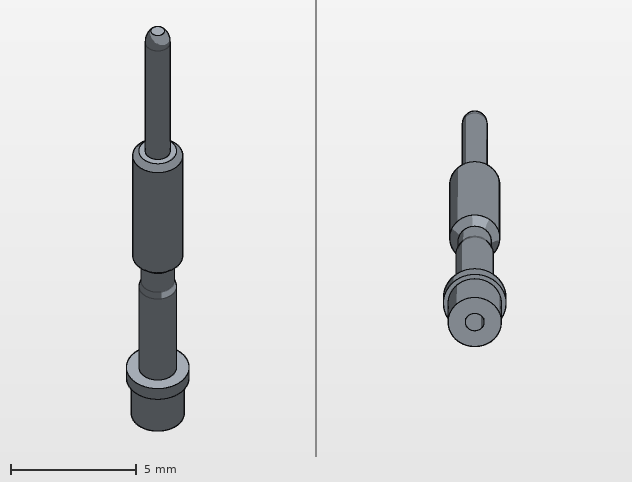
import cadquery as cq

flange_bottom = 1.91
flange_top = 2.5
barrel_top = 6.9
neck_bottom = 7.2
neck_top = 8.22
body_bottom = 8.57
body_top = 14.27
nose_start = 20.18
total_height = 20.8

base_radius = 1.06
flange_radius = 1.25
barrel_radius = 0.75
neck_radius = 0.67
body_radius = 1.0
pin_radius = 0.5
tip_radius = 0.27

body_chamfer = 0.25

bore_radius = 0.37
bore_depth = 6.45

hole_diameter = 0.5
hole_height = 5.8
hole_depth = barrel_radius

nose_mid_radius = 0.45
nose_mid_height = 20.49


def turned_contact():
    """Revolve the half outline of the contact about Z."""
    return (
        cq.Workplane("XZ")
        .moveTo(0, 0)
        .lineTo(base_radius, 0)
        .lineTo(base_radius, flange_bottom)
        .lineTo(flange_radius, flange_bottom)
        .lineTo(flange_radius, flange_top)
        .lineTo(barrel_radius, flange_top)
        .lineTo(barrel_radius, barrel_top)
        .lineTo(neck_radius, neck_bottom)
        .lineTo(neck_radius, neck_top)
        .lineTo(body_radius, body_bottom)
        .lineTo(body_radius, body_top - body_chamfer)
        .lineTo(body_radius - body_chamfer, body_top)
        .lineTo(pin_radius, body_top)
        .lineTo(pin_radius, nose_start)
        .threePointArc((nose_mid_radius, nose_mid_height), (tip_radius, total_height))
        .lineTo(0, total_height)
        .close()
        .revolve(360, (0, 0, 0), (0, 1, 0))
    )


def wire_bore():
    """Blind bore along Z from the bottom face."""
    return cq.Workplane("XY").circle(bore_radius).extrude(bore_depth)


def inspection_hole():
    """Cylinder from the -X side of the barrel inward."""
    return (
        cq.Workplane("YZ", origin=(-barrel_radius, 0, hole_height))
        .circle(hole_diameter / 2)
        .extrude(hole_depth)
    )


result = turned_contact().cut(wire_bore()).cut(inspection_hole())